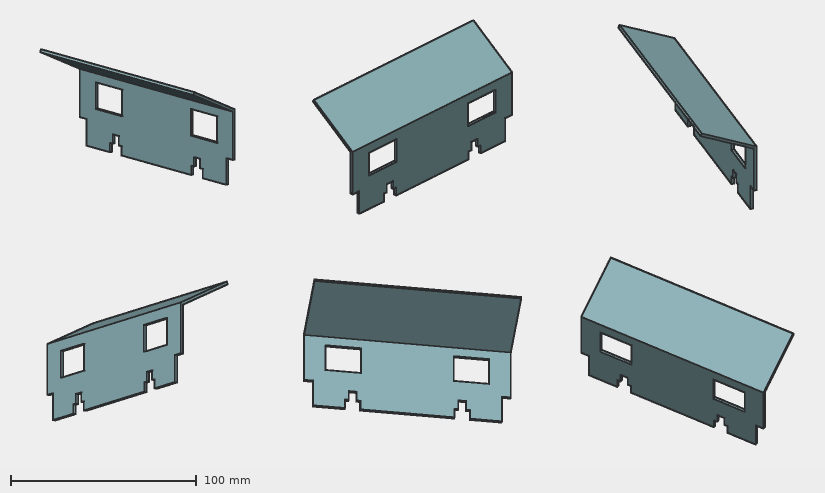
import cadquery as cq
import math

length = 113.0
depth = 32.9
height = 60.3

thickness = 1.7
wall_height = 42.3
bend_height = 43.3
flange_slope = math.radians(28)

corner_width = 4.9
corner_height = 15.0

window_width = 19.4
window_height = 15.0
window_offset = 35.0
window_bottom = 22.1
slot_offset = 30.0
slot_mouth_width = 8.5
slot_mouth_height = 5.2
slot_neck_width = 4.4
slot_height = 10.5


def bent_sheet():
    """Vertical wall with a flange sloping up towards -Y; the wall's outer face is at Y = 0."""
    tip_rise = thickness * math.cos(flange_slope)
    tip_run = thickness * math.sin(flange_slope)
    section = [
        (0, 0),
        (0, bend_height),
        (tip_run - depth, height),
        (-depth, height - tip_rise),
        (-thickness, wall_height),
        (-thickness, 0),
    ]
    return cq.Workplane("YZ").polyline(section).close().extrude(length / 2, both=True)


def wall_cutter(center_x, bottom, width, tall):
    """Block that cuts a rectangle through the wall."""
    return cq.Workplane("XY").box(width, 4 * thickness, tall, centered=(True, True, False)).translate(
        (center_x, 0, bottom)
    )


result = bent_sheet()
for side in (-1, 1):
    corner_center = side * (length - corner_width) / 2
    slot_center = side * slot_offset
    result = result.cut(wall_cutter(corner_center, 0, corner_width, corner_height))
    result = result.cut(wall_cutter(side * window_offset, window_bottom, window_width, window_height))
    result = result.cut(wall_cutter(slot_center, 0, slot_mouth_width, slot_mouth_height))
    result = result.cut(wall_cutter(slot_center, 0, slot_neck_width, slot_height))